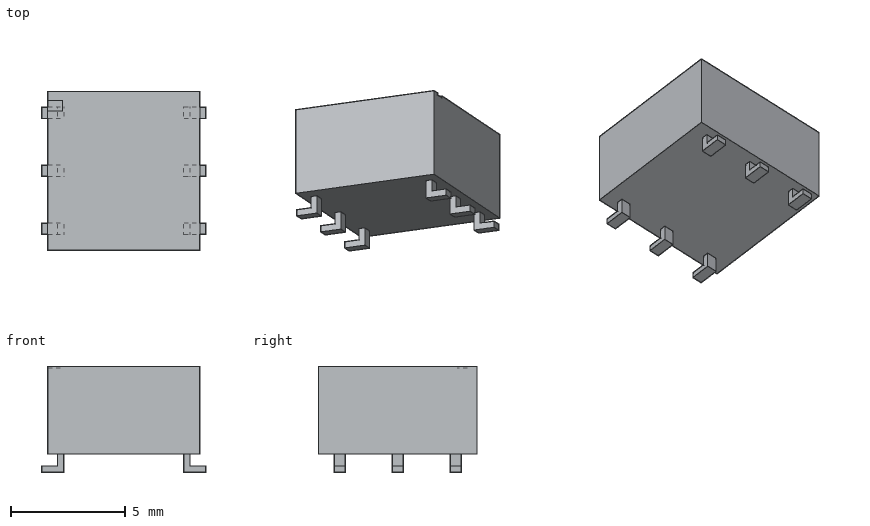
import cadquery as cq

overall_length = 7.2
overall_height = 4.65

housing_length = 6.67
housing_width = 6.97
standoff = 0.8
housing_height = overall_height - standoff

notch_length = 0.65
notch_width = 0.47
notch_depth = 0.09
notch_edge_gap = 0.395

leads_per_side = 3
lead_pitch = 2.54
lead_width = 0.5
lead_thickness = 0.29
foot_length = 0.97


def make_housing():
    """Plain block with a shallow notch in its top -X edge, near the +Y corner."""
    block = cq.Workplane("XY").box(
        housing_length, housing_width, housing_height, centered=(True, True, False)
    ).translate((0, 0, standoff))
    notch = cq.Workplane("XY").box(
        notch_length, notch_width, notch_depth, centered=False
    ).translate((
        -housing_length / 2,
        housing_width / 2 - notch_edge_gap - notch_width,
        overall_height - notch_depth,
    ))
    return block.cut(notch)


def make_lead(side, y_center):
    """L-shaped lead: a foot pointing outward and a leg up to the housing underside.

    side is -1 for the -X row and +1 for the +X row.
    """
    toe_x = side * overall_length / 2
    heel_x = toe_x - side * foot_length
    leg_outer_x = heel_x + side * lead_thickness
    return (
        cq.Workplane("XZ")
        .moveTo(toe_x, 0)
        .lineTo(heel_x, 0)
        .lineTo(heel_x, standoff)
        .lineTo(leg_outer_x, standoff)
        .lineTo(leg_outer_x, lead_thickness)
        .lineTo(toe_x, lead_thickness)
        .close()
        .extrude(lead_width / 2, both=True)
        .translate((0, y_center, 0))
    )


housing = make_housing()

leads = []
for side in (-1, 1):
    for index in range(leads_per_side):
        y_center = (index - (leads_per_side - 1) / 2) * lead_pitch
        leads.append(make_lead(side, y_center))

result = cq.Compound.makeCompound([housing.val(), *[lead.val() for lead in leads]])